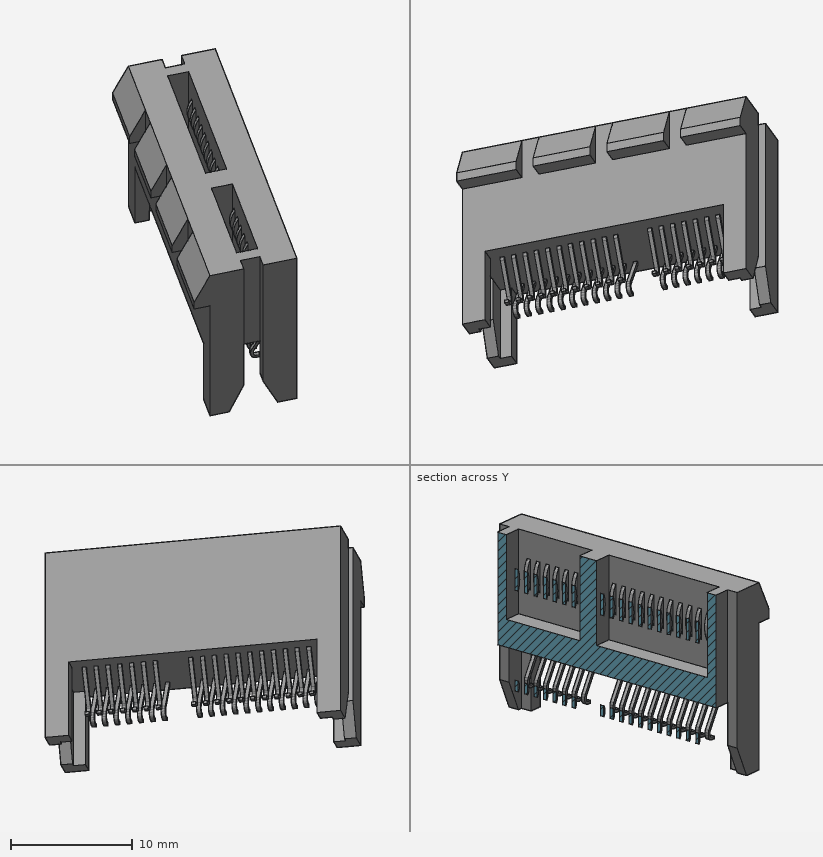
import cadquery as cq
import math


length = 25.0
housing_width = 7.45
total_height = 16.6
block_height = 10.0
leg_length = 2.0
underside_z = total_height - block_height
half_length = length / 2
front_y = -housing_width / 2

guide_width = 1.65
guide_depth = 1.0
foot_taper_height = 2.82
foot_taper_width = 1.25
leg_rib_thickness = 1.25

slot_width = 1.8
slot_depth = 7.5
slot_end_margin = 1.95
key_start = 13.55
key_length = 1.8

hook_reach = 1.35
hook_height = 3.58
hook_lip_height = 0.8
end_hook_length = 5.25
middle_hook_length = 5.0
hook_gap = 1.5

contact_pitch = 1.0
contact_positions = 20
key_positions = (11, 12)
contact_width = 0.35
strip_thickness = 0.25
bend_radius = 0.25
outer_bend_radius = bend_radius + strip_thickness
lean_angle = math.radians(30)

bend_drop = 0.08
curl_drop = 3.3
bend_center_z = underside_z - bend_drop
curl_center_y = 1.05
curl_center_z = underside_z - curl_drop
curl_straight_height = 0.25
curl_top_z = curl_center_z + curl_straight_height
tail_tip_length = 0.3
tail_embed = 0.25

bump_reach = 0.4
bump_radius = 2.5
bump_center_z = total_height - slot_depth / 2


def box_between(x_min, x_max, y_min, y_max, z_min, z_max):
    return (
        cq.Workplane("XY")
        .box(x_max - x_min, y_max - y_min, z_max - z_min, centered=False)
        .translate((x_min, y_min, z_min))
    )


def on_circle(center_y, center_z, radius, angle):
    """Point on a circle, with the angle measured from +Y towards +Z."""
    return center_y + radius * math.cos(angle), center_z + radius * math.sin(angle)


def make_housing():
    """Block on four legs, each a tapered outer plate backed by a thinner rib."""
    half_guide = guide_width / 2
    leg_inner_x = half_length - leg_length
    plate_inner_x = half_length - guide_depth
    rib_y = housing_width / 2 - leg_rib_thickness
    housing = box_between(-half_length, half_length, front_y, -front_y, 0, total_height)
    housing = housing.cut(box_between(-leg_inner_x, leg_inner_x, front_y, -front_y, 0, underside_z))
    housing = housing.cut(box_between(-plate_inner_x, plate_inner_x, -rib_y, rib_y, 0, underside_z))

    guide_profile = [
        (-half_guide - foot_taper_width, 0),
        (-half_guide, foot_taper_height),
        (-half_guide, total_height),
        (half_guide, total_height),
        (half_guide, foot_taper_height),
        (half_guide + foot_taper_width, 0),
    ]
    for notch_x in (-half_length, plate_inner_x):
        notch_plane = cq.Workplane("YZ", origin=(notch_x, 0, 0))
        notch = notch_plane.polyline(guide_profile).close().extrude(guide_depth)
        housing = housing.cut(notch)
    return housing


def cut_slots(housing):
    half_slot = slot_width / 2
    floor_z = total_height - slot_depth
    key_start_x = key_start - half_length
    slot_end_x = half_length - slot_end_margin
    first_slot = (-slot_end_x, key_start_x)
    second_slot = (key_start_x + key_length, slot_end_x)
    for start_x, end_x in (first_slot, second_slot):
        slot = box_between(start_x, end_x, -half_slot, half_slot, floor_z, total_height)
        housing = housing.cut(slot)
    return housing


def make_hooks():
    lip_y = front_y - hook_reach
    bottom_z = total_height - hook_height
    profile = [
        (front_y, total_height),
        (lip_y, bottom_z + hook_lip_height),
        (lip_y, bottom_z),
        (front_y, bottom_z),
    ]
    hook_lengths = (end_hook_length, middle_hook_length, middle_hook_length, end_hook_length)
    hooks = cq.Workplane("XY")
    start_x = -half_length
    for hook_length in hook_lengths:
        hook = cq.Workplane("YZ", origin=(start_x, 0, 0)).polyline(profile).close().extrude(hook_length)
        hooks = hooks.add(hook)
        start_x += hook_length + hook_gap
    return hooks


def make_tail():
    """Strip leaving the underside, leaning towards Y = 0 and curling away again (row at +Y)."""
    radii = outer_bend_radius + bend_radius
    lean_height = bend_center_z - curl_top_z - radii * math.sin(lean_angle)
    bend_center_y = curl_center_y + lean_height * math.tan(lean_angle) - radii * math.cos(lean_angle)
    tail_top_z = underside_z + tail_embed
    tip_y = curl_center_y + tail_tip_length

    def bend_point(radius, angle):
        return on_circle(bend_center_y, bend_center_z, radius, angle)

    def curl_top_point(radius, angle):
        return on_circle(curl_center_y, curl_top_z, radius, angle)

    def curl_point(radius, angle):
        return on_circle(curl_center_y, curl_center_z, radius, angle)

    lean_start = -lean_angle
    lean_end = math.pi - lean_angle
    upright = math.pi
    curl_middle = 1.25 * math.pi
    curl_end = 1.5 * math.pi
    return (
        cq.Workplane("YZ")
        .moveTo(bend_center_y + outer_bend_radius, tail_top_z)
        .lineTo(*bend_point(outer_bend_radius, 0))
        .threePointArc(
            bend_point(outer_bend_radius, lean_start / 2),
            bend_point(outer_bend_radius, lean_start),
        )
        .lineTo(*curl_top_point(bend_radius, lean_end))
        .threePointArc(
            curl_top_point(bend_radius, (lean_end + upright) / 2),
            curl_top_point(bend_radius, upright),
        )
        .lineTo(*curl_point(bend_radius, upright))
        .threePointArc(curl_point(bend_radius, curl_middle), curl_point(bend_radius, curl_end))
        .lineTo(tip_y, curl_center_z - bend_radius)
        .lineTo(tip_y, curl_center_z - outer_bend_radius)
        .lineTo(*curl_point(outer_bend_radius, curl_end))
        .threePointArc(curl_point(outer_bend_radius, curl_middle), curl_point(outer_bend_radius, upright))
        .lineTo(*curl_top_point(outer_bend_radius, upright))
        .threePointArc(
            curl_top_point(outer_bend_radius, (lean_end + upright) / 2),
            curl_top_point(outer_bend_radius, lean_end),
        )
        .lineTo(*bend_point(bend_radius, lean_start))
        .threePointArc(bend_point(bend_radius, lean_start / 2), bend_point(bend_radius, 0))
        .lineTo(bend_center_y + bend_radius, tail_top_z)
        .close()
        .extrude(contact_width / 2, both=True)
    )


def make_bump():
    """Rounded crest on the +Y slot wall, rooted in the wall."""
    wall_y = slot_width / 2
    crest_y = wall_y - bump_reach
    root_y = wall_y + strip_thickness
    half_height = math.sqrt(bump_radius**2 - (bump_radius - bump_reach) ** 2)
    top_z = bump_center_z + half_height
    bottom_z = bump_center_z - half_height
    return (
        cq.Workplane("YZ")
        .moveTo(root_y, top_z)
        .lineTo(wall_y, top_z)
        .threePointArc((crest_y, bump_center_z), (wall_y, bottom_z))
        .lineTo(root_y, bottom_z)
        .close()
        .extrude(contact_width / 2, both=True)
    )


def make_contacts():
    rear_contact = [make_tail(), make_bump()]
    front_contact = [piece.mirror("XZ") for piece in rear_contact]
    first_x = -(contact_positions - 1) * contact_pitch / 2
    contacts = cq.Workplane("XY")
    for position in range(contact_positions):
        if position in key_positions:
            continue
        for piece in rear_contact + front_contact:
            contacts = contacts.add(piece.translate((first_x + position * contact_pitch, 0, 0)))
    return contacts


housing = cut_slots(make_housing())
added_pieces = make_hooks().vals() + make_contacts().vals()
result = cq.Workplane("XY").newObject([housing.val().fuse(*added_pieces).clean()])